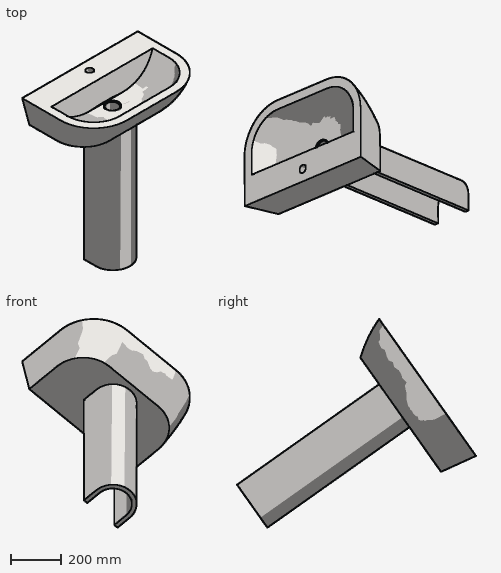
import cadquery as cq
import math


BASIN_HEIGHT = 150.0
TOP_WIDTH = 649.0
TOP_DEPTH = 402.0
TOP_CORNER = 187.0
BOTTOM_WIDTH = 569.0
BOTTOM_DEPTH = 302.0
BOTTOM_CORNER = 147.0
FRONT_BULGE = 11.0

RIM = 41.0
BOWL_BACK = 124.0
BOWL_DEPTH = 107.0
BOWL_MID_DEPTH = 71.0
BOWL_MID_WIDTH = 436.0
BOWL_MID_BACK = 139.0
BOWL_MID_FRONT = 337.0
BOWL_MID_CORNER = 123.0
BOWL_FLOOR_WIDTH = 85.0
BOWL_FLOOR_BACK = 142.0
BOWL_FLOOR_FRONT = 226.0
BOWL_FLOOR_CORNER = 38.0

TAP_HOLE_DIAMETER = 35.0
TAP_HOLE_SETBACK = 55.0
DRAIN_SETBACK = 182.0
DRAIN_BORE_RADIUS = 30.0
DRAIN_TUBE_RADIUS = 35.0
DRAIN_TUBE_DROP = 31.0
DRAIN_SEAT_DEPTH = 5.0

PEDESTAL_WIDTH = 189.0
PEDESTAL_HEIGHT = 690.0
PEDESTAL_SETBACK = 117.0
PEDESTAL_STRAIGHT = 68.0
PEDESTAL_WALL = 19.0

LEAN = math.atan(math.sqrt(2))
UP = cq.Vector(0, math.sin(LEAN), math.cos(LEAN))
WIDTH_DIRECTION = cq.Vector(1 / math.sqrt(2), math.cos(LEAN) / math.sqrt(2), -math.sin(LEAN) / math.sqrt(2))
PLACEMENT = cq.Location(cq.Plane(origin=(0, 0, 0), xDir=WIDTH_DIRECTION, normal=UP))


def d_outline(width, back, front, corner, depth):
    """Straight-backed outline with two round front corners, lying `depth` below the rim."""
    half = width / 2
    diagonal = corner * (1 - math.sqrt(0.5))
    outline = (
        cq.Workplane("XY", origin=(0, 0, -depth))
        .moveTo(-half, -back)
        .lineTo(-half, corner - front)
        .threePointArc((diagonal - half, diagonal - front), (corner - half, -front))
        .lineTo(half - corner, -front)
        .threePointArc((half - diagonal, diagonal - front), (half, corner - front))
        .lineTo(half, -back)
        .close()
    )
    return outline.val()


def cylinder(radius, setback, top, bottom):
    """Vertical cylinder on the centre line between two heights."""
    return cq.Workplane("XY", origin=(0, -setback, bottom)).circle(radius).extrude(top - bottom)


def basin_shell():
    outlines = [
        d_outline(TOP_WIDTH, 0, TOP_DEPTH, TOP_CORNER, 0),
        d_outline(
            (TOP_WIDTH + BOTTOM_WIDTH) / 2,
            0,
            (TOP_DEPTH + BOTTOM_DEPTH) / 2 + FRONT_BULGE,
            (TOP_CORNER + BOTTOM_CORNER) / 2,
            BASIN_HEIGHT / 2,
        ),
        d_outline(BOTTOM_WIDTH, 0, BOTTOM_DEPTH, BOTTOM_CORNER, BASIN_HEIGHT),
    ]
    return cq.Workplane(cq.Solid.makeLoft(outlines))


def bowl():
    outlines = [
        d_outline(TOP_WIDTH - 2 * RIM, BOWL_BACK, TOP_DEPTH - RIM, TOP_CORNER - RIM, 0),
        d_outline(BOWL_MID_WIDTH, BOWL_MID_BACK, BOWL_MID_FRONT, BOWL_MID_CORNER, BOWL_MID_DEPTH),
        d_outline(BOWL_FLOOR_WIDTH, BOWL_FLOOR_BACK, BOWL_FLOOR_FRONT, BOWL_FLOOR_CORNER, BOWL_DEPTH),
    ]
    return cq.Workplane(cq.Solid.makeLoft(outlines))


def make_basin():
    tube_end = -BASIN_HEIGHT - DRAIN_TUBE_DROP
    drain_seat = -BOWL_DEPTH - DRAIN_SEAT_DEPTH
    return (
        basin_shell()
        .union(cylinder(DRAIN_TUBE_RADIUS, DRAIN_SETBACK, -BASIN_HEIGHT, tube_end))
        .cut(bowl())
        .cut(cylinder(DRAIN_TUBE_RADIUS, DRAIN_SETBACK, -BOWL_DEPTH, drain_seat))
        .cut(cylinder(DRAIN_BORE_RADIUS, DRAIN_SETBACK, -BOWL_DEPTH, tube_end))
        .cut(cylinder(TAP_HOLE_DIAMETER / 2, TAP_HOLE_SETBACK, 0, -BASIN_HEIGHT))
    )


def make_pedestal():
    """U-shaped column, open towards the wall, standing under the basin."""
    outer = PEDESTAL_WIDTH / 2
    inner = outer - PEDESTAL_WALL
    back = -PEDESTAL_SETBACK
    arc_start = back - PEDESTAL_STRAIGHT
    return (
        cq.Workplane("XY", origin=(0, 0, -BASIN_HEIGHT))
        .moveTo(-outer, back)
        .lineTo(-outer, arc_start)
        .threePointArc((0, arc_start - outer), (outer, arc_start))
        .lineTo(outer, back)
        .lineTo(inner, back)
        .lineTo(inner, arc_start)
        .threePointArc((0, arc_start - inner), (-inner, arc_start))
        .lineTo(-inner, back)
        .close()
        .extrude(-PEDESTAL_HEIGHT)
    )


basin = make_basin().solids()
pedestal = make_pedestal()

result = cq.Compound.makeCompound([basin.val().moved(PLACEMENT), pedestal.val().moved(PLACEMENT)])